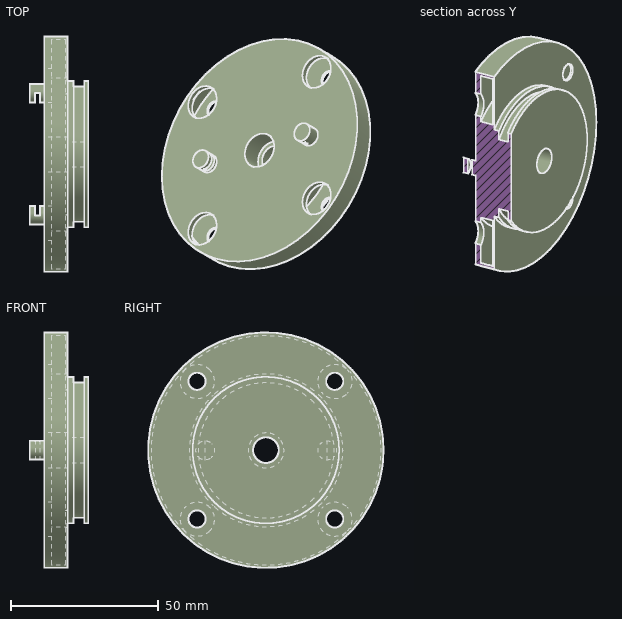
import cadquery as cq

total_length = 20.0
plate_diameter = 80.0
plate_thickness = 8.0
hub_diameter = 49.8
groove_diameter = 46.0
shoulder_width = 2.0
groove_width = 3.6
lip_width = 1.4
hub_length = shoulder_width + groove_width + lip_width

pin_diameter = 6.4
pin_length = total_length - plate_thickness - hub_length
pin_offset = 20.7
slot_width = 1.6
slot_start = 1.4

bolt_offset = 23.4
bolt_diameter = 5.8
bolt_head_diameter = 11.6
bolt_head_depth = 7.2

front_skin = 2.4
channel_depth = bolt_head_depth - front_skin
channel_outer_diameter = 78.0
channel_inner_diameter = 52.0

bore_diameter = 8.6
bore_mouth_diameter = 12.0
bore_mouth_depth = 8.0


def cylinder(diameter, start, length, y=0, z=0):
    """Cylinder along +X from X = start."""
    return cq.Workplane("YZ", origin=(start, y, z)).circle(diameter / 2).extrude(length)


def slotted_pin(side):
    """Pin on the +Y or -Y side, slotted through its half nearest the center."""
    center = side * pin_offset
    pin = cylinder(pin_diameter, -pin_length, pin_length, y=center)
    slot = cq.Workplane("XY").box(slot_width, pin_diameter, pin_diameter).translate(
        (-slot_start - slot_width / 2, center - side * pin_diameter / 2, 0)
    )
    return pin.cut(slot)


def counterbored_hole(diameter, head_diameter, head_depth, y=0, z=0):
    """Through-hole cutter with its counterbore opening on the front face."""
    hole = cylinder(diameter, 0, plate_thickness + hub_length, y, z)
    return hole.union(cylinder(head_diameter, 0, head_depth, y, z))


groove_start = plate_thickness + shoulder_width
lip_start = groove_start + groove_width
body = cylinder(plate_diameter, 0, plate_thickness)
body = body.union(cylinder(hub_diameter, plate_thickness, shoulder_width))
body = body.union(cylinder(groove_diameter, groove_start, groove_width))
body = body.union(cylinder(hub_diameter, lip_start, lip_width))

for side in (-1, 1):
    body = body.union(slotted_pin(side))

body = body.cut(counterbored_hole(bore_diameter, bore_mouth_diameter, bore_mouth_depth))
for y in (-bolt_offset, bolt_offset):
    for z in (-bolt_offset, bolt_offset):
        body = body.cut(counterbored_hole(bolt_diameter, bolt_head_diameter, bolt_head_depth, y, z))

channel = cylinder(channel_outer_diameter, front_skin, channel_depth)
channel = channel.cut(cylinder(channel_inner_diameter, front_skin, channel_depth))
body = body.cut(channel)

result = body